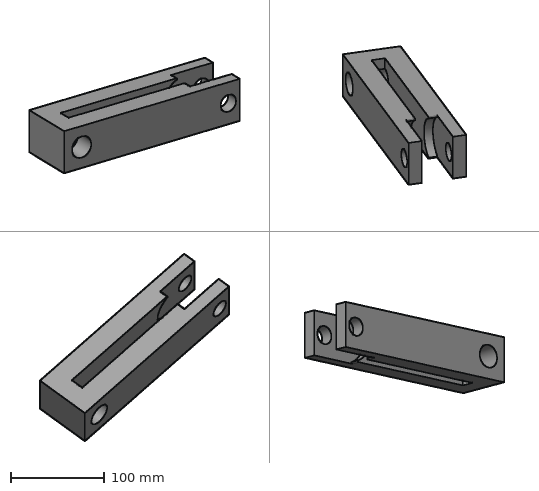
import cadquery as cq
import math

width = 65.0
length = 230.0
height = 50.0

narrow_slot_width = 15.0
wide_slot_width = 35.0
closed_end_wall = 23.5

wide_slot_depth = 54.0
lip_radius = 1.0
hollow_radius = height / 2
hollow_center_inset = 45.0

small_hole_diameter = 20.0
small_hole_inset = 15.0
large_hole_diameter = 25.0
large_hole_inset = 23.0

front_y = -length / 2
back_y = length / 2


def narrow_slot():
    """Full-height slot from the closed end wall out through the back end."""
    slot_length = length - closed_end_wall
    return cq.Workplane("XY").box(narrow_slot_width, slot_length, height).translate(
        (0, closed_end_wall / 2, 0)
    )


def wide_slot():
    """Side profile of the wide slot, with its hollowed end wall, extruded along X."""
    top_z = height / 2
    lip_y = back_y - wide_slot_depth
    hollow_y = back_y - hollow_center_inset

    lip_center_y = lip_y - lip_radius
    lip_center_z = top_z - lip_radius
    lip_mid_y = lip_center_y + lip_radius * math.sqrt(0.5)
    lip_mid_z = lip_center_z + lip_radius * math.sqrt(0.5)
    hollow_edge_z = math.sqrt(hollow_radius**2 - (hollow_y - lip_y) ** 2)

    profile = (
        cq.Workplane("YZ")
        .moveTo(back_y, top_z)
        .lineTo(lip_center_y, top_z)
        .threePointArc((lip_mid_y, lip_mid_z), (lip_y, lip_center_z))
        .lineTo(lip_y, hollow_edge_z)
        .threePointArc((hollow_y - hollow_radius, 0), (lip_y, -hollow_edge_z))
        .lineTo(lip_y, -lip_center_z)
        .threePointArc((lip_mid_y, -lip_mid_z), (lip_center_y, -top_z))
        .lineTo(back_y, -top_z)
        .close()
    )
    return profile.extrude(wide_slot_width / 2, both=True)


def cross_hole(diameter, y):
    """Cylinder through the full width at mid height."""
    return cq.Workplane("YZ").center(y, 0).circle(diameter / 2).extrude(width / 2, both=True)


result = (
    cq.Workplane("XY")
    .box(width, length, height)
    .cut(narrow_slot())
    .cut(wide_slot())
    .cut(cross_hole(small_hole_diameter, back_y - small_hole_inset))
    .cut(cross_hole(large_hole_diameter, front_y + large_hole_inset))
)